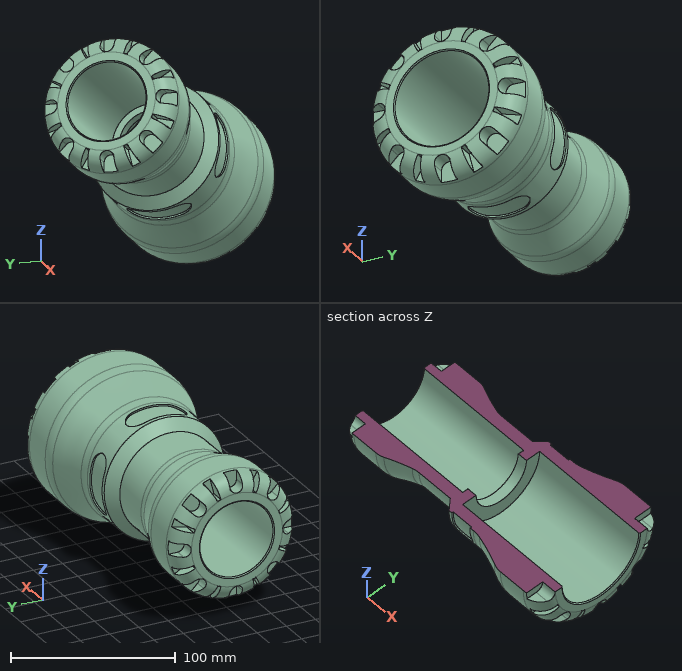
import cadquery as cq

total_length = 187.0
small_cap_diameter = 85.0
large_cap_diameter = 103.0
cap_ratio = large_cap_diameter / small_cap_diameter

small_cap_length = 31.2
large_cap_length = 34.5
end_rounding = 11.5
grip_depth = 9.2
grip_clearance = 0.28
round_grip_width = 8.8
wedge_inner_width = 2.2
wedge_outer_width = 5.5
grip_count = 8

crest_length = 5.8
flank_length = 18.1
foot_length = 5.5
crest_drop = 1.22
foot_rise = 0.7

neck_radius = 68.0 / 2
collar_radius = 82.5 / 2
collar_cone_start = 88.3
collar_start = 95.0

recess_center_x = 105.8
recess_width = 16.0
recess_length = 40.2
recess_depth = 1.1
recess_count = 4

small_socket_radius = 50.0 / 2
large_socket_radius = 63.0 / 2
stop_radius = 41.3 / 2
stop_length = 7.5
mouth_chamfer = 0.7


def shoulder_points(end_x, inward, cap_length, cap_radius, base_radius, scale):
    """Joints of the three shoulder arcs, listed from the cap down to the base radius."""
    crest_x = cap_length
    flank_x = crest_x + crest_length * scale
    foot_x = flank_x + flank_length * scale
    base_x = foot_x + foot_length * scale
    return [
        (end_x + inward * crest_x, cap_radius),
        (end_x + inward * flank_x, cap_radius - crest_drop * scale),
        (end_x + inward * foot_x, base_radius + foot_rise * scale),
        (end_x + inward * base_x, base_radius),
    ]


def make_body():
    """Solid of revolution with the complete outer outline."""
    small_radius = small_cap_diameter / 2
    large_radius = large_cap_diameter / 2
    large_rounding = end_rounding * cap_ratio
    falling = shoulder_points(0, 1, small_cap_length, small_radius, neck_radius, 1)
    rising = shoulder_points(total_length, -1, large_cap_length, large_radius, collar_radius, cap_ratio)
    rising.reverse()

    outline = (
        cq.Workplane("XY")
        .lineTo(0, small_radius - end_rounding)
        .radiusArc((end_rounding, small_radius), end_rounding)
        .lineTo(*falling[0])
    )
    for point in falling[1:]:
        outline = outline.tangentArcPoint(point, relative=False)
    outline = (
        outline.lineTo(collar_cone_start, neck_radius)
        .lineTo(collar_start, collar_radius)
        .lineTo(*rising[0])
    )
    for point in rising[1:]:
        outline = outline.tangentArcPoint(point, relative=False)
    outline = (
        outline.lineTo(total_length - large_rounding, large_radius)
        .radiusArc((total_length, large_radius - large_rounding), large_rounding)
        .lineTo(total_length, 0)
        .close()
    )
    return outline.revolve(360, (0, 0, 0), (1, 0, 0))


def make_bore():
    """Two chamfered sockets separated by a narrower stop ring."""
    stop_start = (total_length - stop_length) / 2
    stop_end = (total_length + stop_length) / 2
    return (
        cq.Workplane("XY")
        .lineTo(0, small_socket_radius + mouth_chamfer)
        .lineTo(mouth_chamfer, small_socket_radius)
        .lineTo(stop_start, small_socket_radius)
        .lineTo(stop_start, stop_radius)
        .lineTo(stop_end, stop_radius)
        .lineTo(stop_end, large_socket_radius)
        .lineTo(total_length - mouth_chamfer, large_socket_radius)
        .lineTo(total_length, large_socket_radius + mouth_chamfer)
        .lineTo(total_length, 0)
        .close()
        .revolve(360, (0, 0, 0), (1, 0, 0))
    )


def make_grip_cuts(start_x, cap_diameter, scale):
    """Alternating round-bottomed and wedge-shaped cuts around the rounded end of a cap."""
    depth = grip_depth * scale
    cap_radius = cap_diameter / 2
    inner_radius = cap_radius - end_rounding * scale + grip_clearance
    half_width = round_grip_width * scale / 2
    wedge_inner = wedge_inner_width * scale / 2
    wedge_outer = wedge_outer_width * scale / 2
    plane = cq.Workplane("YZ", origin=(start_x, 0, 0))

    round_cut = (
        plane.moveTo(-half_width, cap_radius)
        .lineTo(-half_width, inner_radius + half_width)
        .threePointArc((0, inner_radius), (half_width, inner_radius + half_width))
        .lineTo(half_width, cap_radius)
        .close()
        .extrude(depth)
    )
    wedge_cut = (
        plane.moveTo(-wedge_inner, inner_radius)
        .lineTo(wedge_inner, inner_radius)
        .lineTo(wedge_outer, cap_radius)
        .lineTo(-wedge_outer, cap_radius)
        .close()
        .extrude(depth)
    )
    pitch = 360 / grip_count
    cuts = cq.Workplane("XY")
    for index in range(grip_count):
        cuts = cuts.add(round_cut.rotate((0, 0, 0), (1, 0, 0), index * pitch))
        cuts = cuts.add(wedge_cut.rotate((0, 0, 0), (1, 0, 0), (index + 0.5) * pitch))
    return cuts.combine()


def make_recess_cuts():
    """Round-ended patches of a thin ring lying just under the collar surface."""
    floor_radius = collar_radius - recess_depth
    outer_radius = collar_radius + recess_depth
    ring = (
        cq.Workplane("YZ", origin=(recess_center_x - recess_width / 2, 0, 0))
        .circle(outer_radius)
        .circle(floor_radius)
        .extrude(recess_width)
    )
    patch = (
        cq.Workplane("XY")
        .center(recess_center_x, 0)
        .slot2D(recess_length, recess_width, 90)
        .extrude(outer_radius)
        .intersect(ring)
    )
    cuts = cq.Workplane("XY")
    for index in range(recess_count):
        cuts = cuts.add(patch.rotate((0, 0, 0), (1, 0, 0), index * 360 / recess_count))
    return cuts.combine()


large_grip_start = total_length - grip_depth * cap_ratio

result = (
    make_body()
    .cut(make_bore())
    .cut(make_grip_cuts(0, small_cap_diameter, 1))
    .cut(make_grip_cuts(large_grip_start, large_cap_diameter, cap_ratio))
    .cut(make_recess_cuts())
)